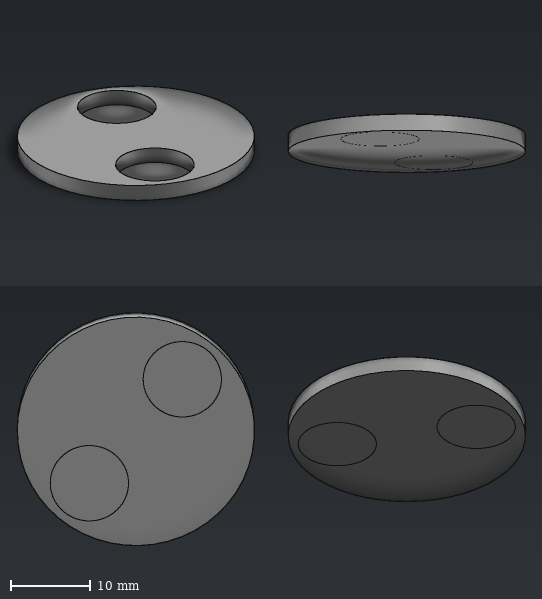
import cadquery as cq

disc_diameter = 30.0
disc_thickness = 2.1
pocket_diameter = 9.9
pocket_spacing = 18.0
pocket_depth = 2.0


def make_disc():
    """Round plate centred on the Z axis, with its underside at Z = 0."""
    return cq.Workplane("XY").circle(disc_diameter / 2).extrude(disc_thickness)


def cut_pockets(body):
    """Cut the two round blind pockets into the top face, one on each side of centre."""
    pocket_centres = [(-pocket_spacing / 2, 0), (pocket_spacing / 2, 0)]
    pockets = (
        cq.Workplane("XY")
        .workplane(offset=disc_thickness)
        .pushPoints(pocket_centres)
        .circle(pocket_diameter / 2)
        .extrude(-pocket_depth)
    )
    return body.cut(pockets)


result = cut_pockets(make_disc())